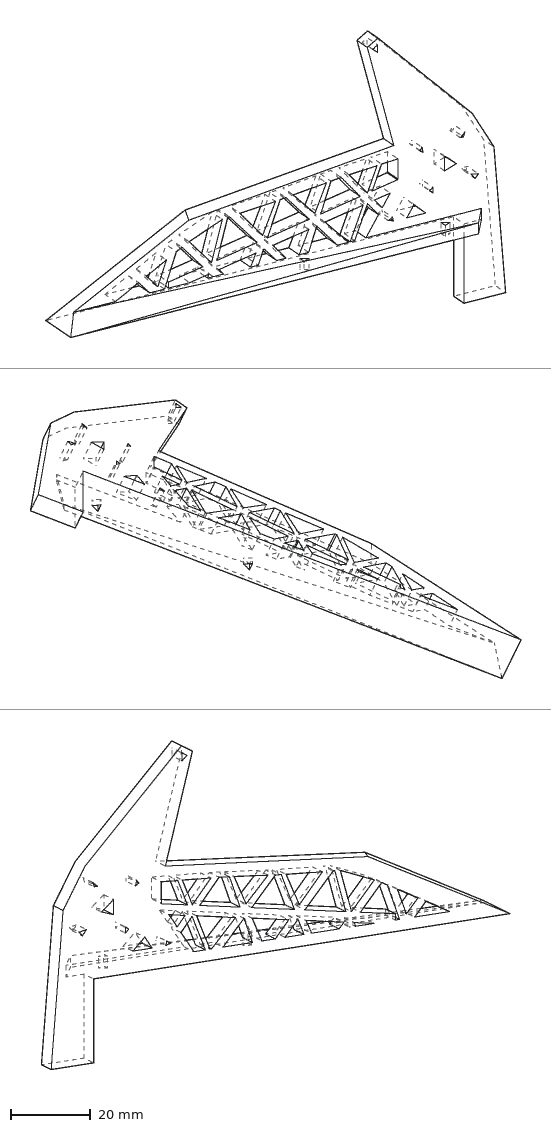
import cadquery as cq

length = 132.0
total_width = 12.0
total_height = 79.2
plate_thickness = 5.0
flange_thickness = 3.0

leg_drop = 21.9
leg_inner_y = 119.7

blade_top_z = total_height - leg_drop
blade_peak = (94.5, blade_top_z)
blade_front_corner = (91.3, blade_top_z - 1.8)
blade_root = (99.1, 26.5)
head_upper_corner = (122.2, 29.8)
head_lower_corner = (128.6, 19.1)

tip = (0.0, 0.0)
outer_bend = (40.9, 20.7)
inner_bend = (39.0, 20.3)
flange_start_y = 5.1
outer_nose = (flange_start_y, flange_start_y * outer_bend[1] / outer_bend[0])
inner_nose = (flange_start_y, flange_thickness)

flange_root_end_y = 124.9

lattice_top_z = 22.6
lattice_outline = [
    (100.3, lattice_top_z),
    (100.3, 17.0),
    (91.0, flange_thickness),
    (17.4, flange_thickness),
    (38.1, 14.0),
    (48.8, 18.2),
    (64.4, 19.4),
    (83.4, 21.4),
]

falling_struts = [
    (87.0, 95.0, 1.3, 1.3),
    (72.7, 80.7, 2.8, 1.2),
    (58.2, 66.4, 2.2, 1.2),
    (45.3, 50.8, 1.6, 1.6),
    (30.6, 37.9, 2.4, 2.4),
]
rising_struts = [
    (100.6, 84.0, 2.5, 2.5),
    (84.2, 66.0, 3.3, 2.2),
    (66.1, 48.8, 2.8, 3.4),
    (47.7, 30.2, 3.0, 3.0),
    (29.2, 11.6, 3.4, 3.4),
]

chord_start = (101.6, 15.7)
chord_end = (33.0, 3.3)
chord_depth = 2.8

plate_holes = [
    [(94.4, 55.5), (94.4, 53.3), (92.9, 54.5)],
    [(120.0, 25.2), (119.6, 24.0), (118.7, 24.0)],
    [(107.5, 24.0), (107.7, 22.6), (106.8, 23.2)],
    [(117.5, 17.2), (114.0, 19.9), (114.0, 16.0)],
    [(124.0, 12.8), (121.8, 13.2), (123.0, 11.7)],
    [(110.6, 12.3), (110.6, 10.7), (109.7, 11.6)],
    [(105.1, 8.8), (108.5, 5.7), (103.0, 5.7)],
    [(98.7, 6.9), (99.0, 5.8), (97.5, 6.2)],
]

flange_hole_x = 8.0
flange_hole_width = 2.0
flange_hole_length = 2.0
flange_hole_base_y = (111.8, 70.4)


def prism(corners):
    """Extrude a (Y, Z) polygon through the plate thickness."""
    return cq.Workplane("YZ").polyline(corners).close().extrude(plate_thickness)


def wire_at(x, corners):
    return cq.Wire.makePolygon([cq.Vector(x, y, z) for y, z in corners], close=True)


def plate_outline(nose, bend):
    return [
        tip,
        nose,
        bend,
        blade_root,
        blade_front_corner,
        blade_peak,
        head_upper_corner,
        head_lower_corner,
        (length, -leg_drop),
        (leg_inner_y, -leg_drop),
        (leg_inner_y, 0.0),
    ]


def make_plate():
    outer = wire_at(0.0, plate_outline(outer_nose, outer_bend))
    inner = wire_at(plate_thickness, plate_outline(inner_nose, inner_bend))
    return cq.Workplane(cq.Solid.makeLoft([outer, inner], True))


def make_flange():
    """Flange whose outer edge tapers from full thickness at the leg to nothing at the tip."""
    x_root = plate_thickness
    tip_root = (x_root, 0.0, 0.0)
    tip_edge = (total_width, 0.0, 0.0)
    nose_top = (x_root, flange_start_y, flange_thickness)
    root_end = (x_root, flange_root_end_y, 0.0)
    root_end_top = (x_root, flange_root_end_y, flange_thickness)
    edge_end = (total_width, leg_inner_y, 0.0)
    edge_end_top = (total_width, leg_inner_y, flange_thickness)
    faces = [
        [tip_root, root_end, edge_end, tip_edge],
        [tip_root, nose_top, root_end_top, root_end],
        [root_end, root_end_top, edge_end_top, edge_end],
        [tip_edge, edge_end, edge_end_top],
        [nose_top, edge_end_top, root_end_top],
        [nose_top, tip_edge, edge_end_top],
        [tip_root, tip_edge, nose_top],
    ]
    shell = cq.Shell.makeShell(
        [
            cq.Face.makeFromWires(cq.Wire.makePolygon([cq.Vector(*p) for p in corners], close=True))
            for corners in faces
        ]
    )
    return cq.Workplane(cq.Solid.makeSolid(shell))


def make_strut(bottom_y, top_y, bottom_width, top_width):
    return prism(
        [
            (bottom_y - bottom_width / 2, flange_thickness),
            (bottom_y + bottom_width / 2, flange_thickness),
            (top_y + top_width / 2, lattice_top_z),
            (top_y - top_width / 2, lattice_top_z),
        ]
    )


def make_chord():
    half = chord_depth / 2
    (start_y, start_z), (end_y, end_z) = chord_start, chord_end
    return prism(
        [
            (start_y, start_z - half),
            (start_y, start_z + half),
            (end_y, end_z + half),
            (end_y, end_z - half),
        ]
    )


def make_lattice_cutter():
    """Everything to remove from the arm: the opening without its struts and chord."""
    cutter = prism(lattice_outline).cut(make_chord())
    for strut in falling_struts + rising_struts:
        cutter = cutter.cut(make_strut(*strut))
    return cutter


def make_flange_hole(base_y):
    half = flange_hole_width / 2
    corners = [
        (flange_hole_x - half, base_y),
        (flange_hole_x + half, base_y),
        (flange_hole_x, base_y + flange_hole_length),
    ]
    return cq.Workplane("XY").polyline(corners).close().extrude(flange_thickness)


result = make_plate().union(make_flange())
result = result.cut(make_lattice_cutter())
for hole_corners in plate_holes:
    result = result.cut(prism(hole_corners))
for hole_base_y in flange_hole_base_y:
    result = result.cut(make_flange_hole(hole_base_y))